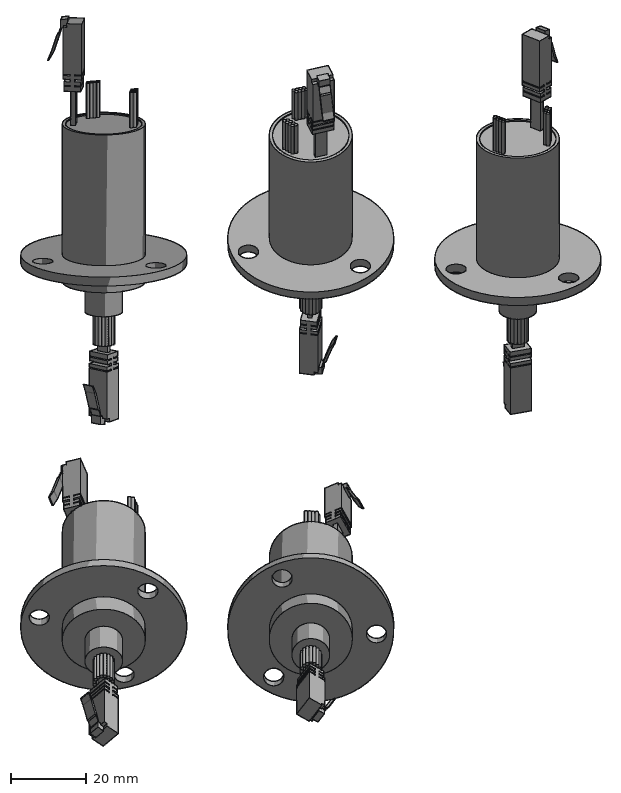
import cadquery as cq
import math


flange_diameter = 44.0
flange_thickness = 2.5
body_diameter = 22.0
body_top = 38.5
body_bottom = -5.0
hub_diameter = 10.0
hub_length = 8.3
hub_bottom = body_bottom - hub_length
cap_diameter = 20.2
cap_recess = 0.3

hole_count = 3
hole_diameter = 5.3
hole_circle_radius = 17.5

wire_diameter = 0.95
wire_pitch = 0.96
lead_spread_radius = 8.0
top_lead_length = 9.3
wires_per_row = 4
top_bundle_angle = 30
top_plug_angle = 210
ring_wire_count = 16
ring_wire_length = 8.8
ring_radius = wire_pitch / 2 / math.sin(math.pi / ring_wire_count)
cable_width = 3.3
cable_thickness = 1.2
cable_stub = 2.1
embed = 1.1

plug_width = 6.0
plug_depth = 5.0
boot_depth = 4.5
boot_end_rib = 1.3
boot_rib = 1.0
boot_slit = 0.3
boot_gap = 0.7
plug_length = 18.7
nose_notch = 1.0
latch_width = 3.1
latch_block_depth = 1.9
latch_block_rise = 1.7
latch_overhang = 0.9
latch_toe_rise = 0.3

lever_root_thickness = 0.2
lever_root_overlap = 0.3
pad_start_out = 4.5
pad_start_back = 3.9
pad_step = 0.3
pad_thickness = 0.7
pad_end_out = 6.0
pad_end_back = 8.7
tip_out = 6.9
tip_back = 10.8
tip_thickness = 0.3


def cylinder(diameter, bottom, top):
    return cq.Workplane("XY").workplane(offset=bottom).circle(diameter / 2).extrude(top - bottom)


def slab(width, depth, bottom, top):
    return cq.Workplane("XY").workplane(offset=bottom).rect(width, depth).extrude(top - bottom)


def wires(centres, bottom, top):
    bundle = cylinder(wire_diameter, bottom, top).translate((*centres[0], 0))
    for x, y in centres[1:]:
        bundle = bundle.union(cylinder(wire_diameter, bottom, top).translate((x, y, 0)))
    return bundle


def make_housing():
    housing = cylinder(body_diameter, body_bottom, body_top)
    housing = housing.union(cylinder(flange_diameter, 0, flange_thickness))
    housing = housing.union(cylinder(hub_diameter, hub_bottom, body_bottom))
    housing = housing.cut(cylinder(cap_diameter, body_top - cap_recess, body_top))
    holes = (
        cq.Workplane("XY")
        .polarArray(hole_circle_radius, 0, 360, hole_count)
        .circle(hole_diameter / 2)
        .extrude(flange_thickness)
    )
    return housing.cut(holes)


def make_latch():
    face = plug_depth / 2
    block_inner = face - nose_notch
    block_outer = block_inner + latch_block_depth
    block = [
        (block_inner, -latch_overhang),
        (block_outer, latch_toe_rise - latch_overhang),
        (block_outer, latch_block_rise),
        (block_inner, latch_block_rise),
    ]
    root_inner = block_outer - lever_root_thickness
    root_back = latch_block_rise - lever_root_overlap
    lever = [
        (root_inner, root_back),
        (block_outer, root_back),
        (block_outer, latch_block_rise),
        (pad_start_out - pad_step, pad_start_back - pad_step),
        (pad_start_out, pad_start_back),
        (pad_end_out, pad_end_back),
        (tip_out, tip_back),
        (tip_out - tip_thickness, tip_back),
        (pad_end_out - pad_thickness, pad_end_back),
        (pad_start_out - pad_thickness, pad_start_back),
        (root_inner, latch_block_rise),
    ]
    latch = cq.Workplane("XY")
    for outline in (block, lever):
        points = [(-out, plug_length - back) for out, back in outline]
        latch = latch.union(cq.Workplane("YZ").polyline(points).close().extrude(latch_width / 2, both=True))
    return latch


def make_plug():
    plug = slab(plug_width, cable_thickness, 0, plug_length)
    level = 0
    ribs = [
        (boot_depth, boot_end_rib, boot_slit),
        (boot_depth, boot_rib, boot_gap),
        (plug_depth, boot_rib, boot_slit),
    ]
    for depth, height, space in ribs:
        plug = plug.union(slab(plug_width, depth, level, level + height))
        level += height + space
    plug = plug.union(slab(plug_width, plug_depth, level, plug_length))
    notch = slab(plug_width, 2 * nose_notch, plug_length - nose_notch, plug_length)
    plug = plug.cut(notch.translate((0, -plug_depth / 2, 0)))
    return plug.union(make_latch())


def make_top_plug():
    cable = slab(cable_width, cable_thickness, -top_lead_length - embed, 0)
    lead = make_plug().union(cable)
    lead = lead.translate((0, -lead_spread_radius, body_top + top_lead_length))
    latch_side = 270
    return lead.rotate((0, 0, 0), (0, 0, 1), top_plug_angle - latch_side)


def make_top_bundle():
    row_spacing = wire_pitch * math.sin(math.radians(60))
    centres = []
    for side, shift in ((-1, 0), (1, wire_pitch / 2)):
        x = lead_spread_radius + side * row_spacing / 2
        for i in range(wires_per_row):
            y = (i - (wires_per_row - 1) / 2) * wire_pitch + shift
            centres.append((x, y))
    bundle = wires(centres, body_top - embed, body_top + top_lead_length)
    return bundle.rotate((0, 0, 0), (0, 0, 1), top_bundle_angle)


def make_lower_lead():
    wires_bottom = hub_bottom - ring_wire_length
    plug_entry = wires_bottom - cable_stub
    step = 2 * math.pi / ring_wire_count
    centres = []
    for i in range(ring_wire_count):
        angle = (i + 0.5) * step
        centres.append((ring_radius * math.cos(angle), ring_radius * math.sin(angle)))
    lead = wires(centres, wires_bottom, hub_bottom + embed)
    lead = lead.union(slab(cable_width, cable_thickness, plug_entry, hub_bottom + embed))
    plug = make_plug().rotate((0, 0, 0), (0, 1, 0), 180).translate((0, 0, plug_entry))
    return lead.union(plug)


top_bundle = make_top_bundle()

result = (
    make_housing()
    .union(make_top_plug())
    .union(top_bundle)
    .union(top_bundle.mirror("YZ"))
    .union(make_lower_lead())
)